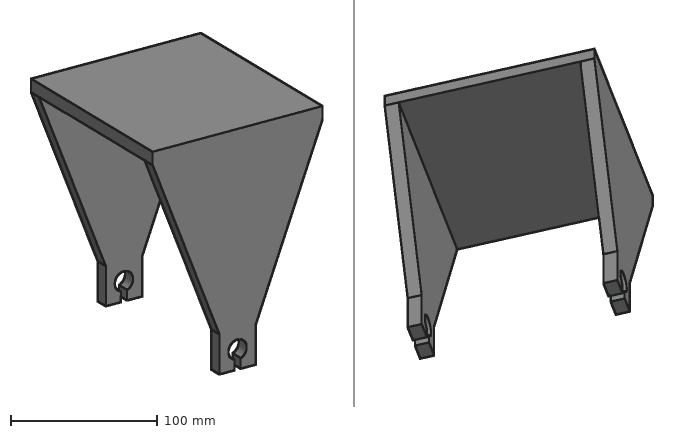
import cadquery as cq

width = 150.0
depth = 140.0
height = 180.0

thickness = 10.0

foot_width = 30.0
foot_height = 30.0

hole_diameter = 15.0
hole_height = foot_height / 2
slot_width = 5.0


def make_leg_profile():
    """Outline along Y and Z: full depth at the plate, tapering to the foot."""
    plate_underside = height - thickness
    return (
        cq.Workplane("YZ")
        .moveTo(-foot_width / 2, 0)
        .lineTo(foot_width / 2, 0)
        .lineTo(foot_width / 2, foot_height)
        .lineTo(depth / 2, plate_underside)
        .lineTo(depth / 2, height)
        .lineTo(-depth / 2, height)
        .lineTo(-depth / 2, plate_underside)
        .lineTo(-foot_width / 2, foot_height)
        .close()
    )


def make_keyhole():
    """Cutter running along X through both feet."""
    hole = (
        cq.Workplane("YZ")
        .center(0, hole_height)
        .circle(hole_diameter / 2)
        .extrude(width / 2, both=True)
    )
    slot = cq.Workplane("XY").box(width, slot_width, hole_height, centered=(True, True, False))
    return hole.union(slot)


body = make_leg_profile().extrude(width / 2, both=True)
gap = cq.Workplane("XY").box(
    width - 2 * thickness, depth, height - thickness, centered=(True, True, False)
)

result = body.cut(gap).cut(make_keyhole())